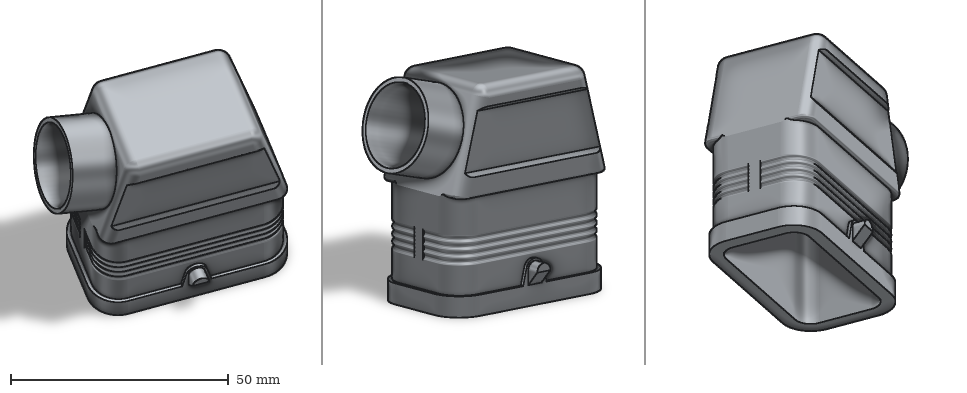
import cadquery as cq
import math

rim_width = 28.5
rim_length = 48.0
rim_height = 5.0
rim_corner_radius = 7.4

body_width = 26.8
body_length = 46.0
body_corner_radius = 6.5

hood_width = rim_width
hood_bottom_z = 28.0
hood_top_z = 54.0
slope_angle = 15.0
hood_edge_radius = 3.0
hood_bottom_radius = 0.75

recess_depth = (hood_width - body_width) / 2
recess_floor_bottom_z = 34.1
recess_sill_height = 1.1
recess_floor_top_z = 48.2

collar_diameter = 22.3
bore_diameter = 20.0
collar_mouth_y = -29.97
collar_mouth_z = 44.48

groove_count = 4
groove_pitch = 1.8
groove_depth = 0.45
groove_bottom_z = 12.0
groove_gap = 3.1

peg_span = 34.8
peg_radius = 2.0
peg_center_z = 8.5
pad_radius = 2.6
pad_bottom_width = 7.1

wall = 2.5
chamber_length = 24.0
chamber_width = 21.0
channel_width = 8.2

slope_run = math.tan(math.radians(slope_angle))
wall_along_y = wall / math.cos(math.radians(slope_angle))


def rounded_block(width, length, height, radius):
    """Upright block standing on Z = 0 with rounded vertical edges."""
    return cq.Workplane("XY").rect(width, length).extrude(height).edges("|Z").fillet(radius)


def centered_prism_along_x(outline, width):
    """Extrude closed YZ points symmetrically about X = 0."""
    return cq.Workplane("YZ").polyline(outline).close().extrude(width / 2, both=True)


def end_face_y(z):
    """Distance of a sloped end face from the middle plane at height z."""
    return body_length / 2 - (z - hood_bottom_z) * slope_run


def make_hood_block():
    """Sharp-edged hood: a symmetric trapezoid in side profile."""
    bottom_y = end_face_y(hood_bottom_z)
    top_y = end_face_y(hood_top_z)
    outline = [
        (-bottom_y, hood_bottom_z),
        (bottom_y, hood_bottom_z),
        (top_y, hood_top_z),
        (-top_y, hood_top_z),
    ]
    return centered_prism_along_x(outline, hood_width)


def make_hood():
    """Hood with rounded edges and a recess along each side."""
    hood = make_hood_block()
    hood = hood.edges("not(<Z)").fillet(hood_edge_radius)
    hood = hood.faces("<Z").edges().fillet(hood_bottom_radius)
    recess_floor_x = hood_width / 2 - recess_depth
    for side in (-1, 1):
        recess = (
            cq.Workplane("XZ")
            .moveTo(side * recess_floor_x, recess_floor_bottom_z)
            .lineTo(side * hood_width / 2, recess_floor_bottom_z - recess_sill_height)
            .lineTo(side * hood_width / 2, recess_floor_top_z + recess_depth)
            .lineTo(side * recess_floor_x, recess_floor_top_z)
            .close()
            .extrude(body_length, both=True)
        )
        hood = hood.cut(recess)
    return hood


def make_body():
    """Straight lower body, before the grip grooves are cut."""
    overlap = 2 * hood_bottom_radius
    straight = rounded_block(body_width, body_length, hood_bottom_z, body_corner_radius)
    tall = rounded_block(body_width, body_length, hood_bottom_z + overlap, body_corner_radius)
    return straight.union(tall.intersect(make_hood_block()))


def groove_ring(center_z):
    """Wave-shaped ring: a concave groove blended by convex arcs into both crests."""
    arc_height = groove_pitch / 4
    half_depth = groove_depth / 2
    wave_radius = (arc_height**2 + half_depth**2) / (2 * half_depth)
    crest_y = -body_length / 2
    body_slice = rounded_block(body_width, body_length, center_z, body_corner_radius)
    path = body_slice.faces(">Z").wires()
    profile = (
        cq.Workplane("YZ")
        .moveTo(crest_y, center_z - 2 * arc_height)
        .radiusArc((crest_y + half_depth, center_z - arc_height), wave_radius)
        .radiusArc((crest_y + half_depth, center_z + arc_height), -wave_radius)
        .radiusArc((crest_y, center_z + 2 * arc_height), wave_radius)
        .close()
    )
    return profile.sweep(path, transition="round")


def make_grooves():
    """Stacked groove rings, each interrupted at the middle of both ends."""
    gap = cq.Workplane("XY").box(groove_gap, 2 * body_length, 2 * hood_bottom_z)
    rings = []
    for index in range(groove_count):
        center_z = groove_bottom_z + (index + 0.5) * groove_pitch
        rings.append(groove_ring(center_z).cut(gap))
    return rings


def make_pads():
    """Pads on both sides: straight flanks tangent to a round top."""
    half_bottom = pad_bottom_width / 2
    rise = peg_center_z - rim_height
    reach = math.hypot(half_bottom, rise)
    tangent_angle = math.acos(pad_radius / reach) - math.atan2(rise, half_bottom)
    tangent_y = pad_radius * math.cos(tangent_angle)
    tangent_z = peg_center_z + pad_radius * math.sin(tangent_angle)
    return (
        cq.Workplane("YZ")
        .moveTo(-half_bottom, rim_height)
        .lineTo(half_bottom, rim_height)
        .lineTo(tangent_y, tangent_z)
        .threePointArc((0, peg_center_z + pad_radius), (-tangent_y, tangent_z))
        .close()
        .extrude(rim_width / 2, both=True)
    )


def make_pegs():
    """Half-round pegs on both sides, each carried by a triangular gusset."""
    bar = (
        cq.Workplane("YZ")
        .center(0, peg_center_z)
        .circle(peg_radius)
        .extrude(peg_span / 2, both=True)
    )
    below = (
        cq.Workplane("YZ")
        .center(0, (peg_center_z + rim_height) / 2)
        .rect(2 * peg_radius, peg_center_z - rim_height)
        .extrude(peg_span / 2, both=True)
    )
    envelope = (
        cq.Workplane("XZ")
        .polyline(
            [
                (-rim_width / 2, rim_height),
                (rim_width / 2, rim_height),
                (peg_span / 2, peg_center_z),
                (peg_span / 2, peg_center_z + peg_radius),
                (-peg_span / 2, peg_center_z + peg_radius),
                (-peg_span / 2, peg_center_z),
            ]
        )
        .close()
        .extrude(peg_radius, both=True)
    )
    return bar.union(below).intersect(envelope)


def collar_cylinder(diameter, end_y):
    """Cylinder from the collar mouth inwards until its axis reaches Y = end_y."""
    angle = math.radians(slope_angle)
    inward = cq.Vector(0, math.cos(angle), -math.sin(angle))
    length = (end_y - collar_mouth_y) / inward.y
    mouth = cq.Vector(0, collar_mouth_y, collar_mouth_z)
    return cq.Workplane(cq.Solid.makeCylinder(diameter / 2, length, mouth, inward))


def make_cavity():
    """Space inside: open lower part, narrower upper chamber and rear channel."""
    lower_cavity_top_z = hood_bottom_z - wall
    chamber_top_z = hood_top_z - wall
    lower = rounded_block(
        body_width - 2 * wall,
        body_length - 2 * wall,
        lower_cavity_top_z,
        body_corner_radius - wall,
    )
    chamber = cq.Workplane("XY").rect(chamber_width, chamber_length).extrude(chamber_top_z)
    channel = centered_prism_along_x(
        [
            (0, lower_cavity_top_z),
            (end_face_y(lower_cavity_top_z) - wall_along_y, lower_cavity_top_z),
            (end_face_y(chamber_top_z) - wall_along_y, chamber_top_z),
            (0, chamber_top_z),
        ],
        channel_width,
    )
    return lower.union(chamber).union(channel)


rim = rounded_block(rim_width, rim_length, rim_height, rim_corner_radius)
outside = make_body()
for ring in make_grooves():
    outside = outside.cut(ring)
outside = outside.union(rim).union(make_hood()).union(make_pads()).union(make_pegs())

chamber_front_y = -chamber_length / 2
outside = outside.union(collar_cylinder(collar_diameter, chamber_front_y - wall))
result = outside.cut(make_cavity()).cut(collar_cylinder(bore_diameter, 0))